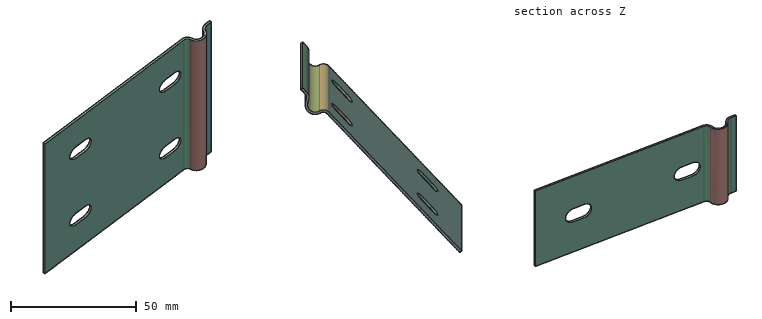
import cadquery as cq
import math

length = 92.0
height = 80.0
thickness = 1.0

bead_depth = 6.0
bead_radius = 4.05
bead_to_edge = 8.5
lip_offset = 0.9
plate_bend_radius = 3.0
lip_bend_radius = 3.4

slot_length = 12.0
slot_width = 7.0
slot_spacing_y = 50.0
slot_spacing_z = 41.0
slot_edge_distance = 22.1

bead_x = bead_depth - bead_radius
bead_y = length - bead_to_edge


def bend_center(face_x, radius, side):
    """Centre of a bend tangent to a flat face at face_x and to the bead arc."""
    x = face_x + radius
    reach = bead_radius - thickness + radius
    return x, bead_y + side * math.sqrt(reach**2 - (x - bead_x) ** 2)


def on_arc(center, radius, angle):
    return center[0] + radius * math.cos(angle), center[1] + radius * math.sin(angle)


def make_sheet():
    bead = (bead_x, bead_y)
    plate_bend = bend_center(0, plate_bend_radius, -1)
    lip_bend = bend_center(lip_offset, lip_bend_radius, 1)

    plate_angle = math.atan2(plate_bend[1] - bead_y, plate_bend[0] - bead_x)
    lip_angle = math.atan2(lip_bend[1] - bead_y, lip_bend[0] - bead_x)

    plate_mid = (math.pi + plate_angle + math.pi) / 2
    lip_mid = (math.pi + lip_angle + math.pi) / 2

    bead_inner = bead_radius - thickness
    plate_inner = plate_bend_radius - thickness
    lip_inner = lip_bend_radius - thickness
    lip_inner_x = lip_offset + thickness

    profile = (
        cq.Workplane("XY")
        .moveTo(0, 0)
        .lineTo(0, plate_bend[1])
        .threePointArc(on_arc(plate_bend, plate_bend_radius, plate_mid), on_arc(bead, bead_inner, plate_angle))
        .threePointArc(on_arc(bead, bead_inner, 0), on_arc(bead, bead_inner, lip_angle))
        .threePointArc(on_arc(lip_bend, lip_bend_radius, lip_mid), (lip_offset, lip_bend[1]))
        .lineTo(lip_offset, length)
        .lineTo(lip_inner_x, length)
        .lineTo(lip_inner_x, lip_bend[1])
        .threePointArc(on_arc(lip_bend, lip_inner, lip_mid), on_arc(bead, bead_radius, lip_angle))
        .threePointArc(on_arc(bead, bead_radius, 0), on_arc(bead, bead_radius, plate_angle))
        .threePointArc(on_arc(plate_bend, plate_inner, plate_mid), (thickness, plate_bend[1]))
        .lineTo(thickness, 0)
        .close()
    )
    return profile.extrude(height)


def make_slots():
    center_y = length - slot_edge_distance - slot_spacing_y / 2
    return (
        cq.Workplane("YZ")
        .center(center_y, height / 2)
        .rarray(slot_spacing_y, slot_spacing_z, 2, 2)
        .slot2D(slot_length, slot_width)
        .extrude(thickness)
    )


result = make_sheet().cut(make_slots())